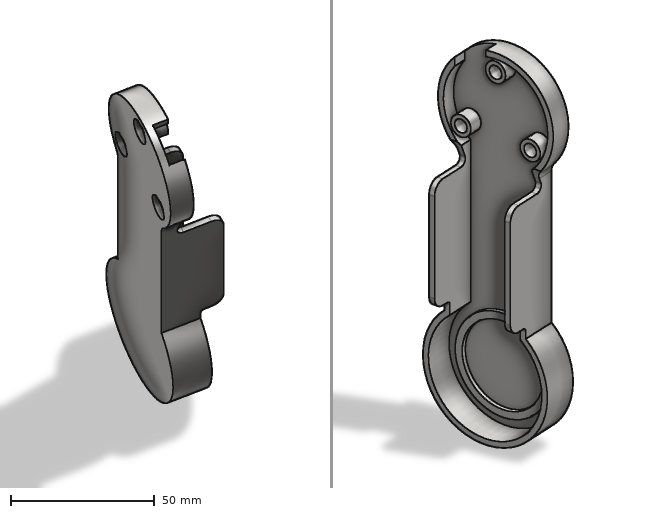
import cadquery as cq
import math

total_height = 152.0
base_diameter = 54.0
base_radius = base_diameter / 2
head_diameter = 50.0
head_radius = head_diameter / 2
base_center_z = base_radius
head_center_z = total_height - head_radius
base_depth = 15.0
head_depth = 9.0
grip_depth = 24.0
handle_half_width = 17.6
wall = 2.5
floor = 3.0
neck_fillet = 4.5

grip_bottom_z = 51.8
grip_top_z = 101.8
grip_corner_radius = 4.9
grip_foot_fillet = 1.5
relief_fillet = 2.5
relief_depth = 4.9
relief_slope_end_z = 111.5

screw_count = 3
screw_circle_radius = 17.3
screw_hole_diameter = 5.3
countersink_diameter = 9.5
countersink_angle = 90
boss_diameter = 8.7

notch_left_x = 4.3
ring_outer_diameter = 41.0
ring_inner_diameter = 35.0
ring_top = 4.9


def disc(x, z, radius, start, end):
    """Cylinder along Y between the depths start and end."""
    plane = cq.Workplane("XZ", origin=(x, start, z))
    return plane.circle(radius).extrude(start - end)


def box(x_min, x_max, y_min, y_max, z_min, z_max):
    size = (x_max - x_min, y_max - y_min, z_max - z_min)
    return cq.Workplane("XY").box(*size, centered=False).translate((x_min, y_min, z_min))


def grip_profile():
    """Side outline of the handle walls, with the relief below the head."""
    return (
        cq.Workplane("YZ", origin=(-handle_half_width, 0, 0))
        .moveTo(0, base_center_z)
        .lineTo(base_depth, base_center_z)
        .lineTo(base_depth, grip_bottom_z)
        .lineTo(grip_depth, grip_bottom_z)
        .lineTo(grip_depth, grip_top_z)
        .lineTo(relief_depth, grip_top_z)
        .lineTo(head_depth, relief_slope_end_z)
        .lineTo(head_depth, head_center_z)
        .lineTo(0, head_center_z)
        .close()
        .extrude(2 * handle_half_width)
    )


def round_grip(grip):
    """Round the free corners of the grip and the corners at its foot and relief."""

    def corner(y, z):
        return cq.selectors.NearestToPointSelector((0, y, z))

    for z in (grip_bottom_z, grip_top_z):
        grip = grip.edges("|X").edges(corner(grip_depth, z)).fillet(grip_corner_radius)
    grip = grip.edges("|X").edges(corner(base_depth, grip_bottom_z)).fillet(grip_foot_fillet)
    return grip.edges("|X").edges(corner(relief_depth, grip_top_z)).fillet(relief_fillet)


def neck_fillets():
    """Material that rounds the inside corners between handle and head."""
    center_x = handle_half_width + neck_fillet
    center_drop = math.sqrt((head_radius + neck_fillet) ** 2 - center_x**2)
    center_z = head_center_z - center_drop
    touch_ratio = head_radius / (head_radius + neck_fillet)
    touch_x = center_x * touch_ratio
    touch_z = head_center_z - center_drop * touch_ratio
    inner_x = handle_half_width - wall
    fill = (
        cq.Workplane("XZ")
        .moveTo(inner_x, center_z)
        .lineTo(handle_half_width, center_z)
        .lineTo(touch_x, touch_z)
        .lineTo(inner_x, head_center_z)
        .close()
        .extrude(-head_depth)
        .cut(disc(center_x, center_z, neck_fillet, 0, head_depth))
    )
    return fill.union(fill.mirror("YZ"))


def below_slope():
    """Region kept at the head: everything in front of the sloping relief."""
    return (
        cq.Workplane("YZ", origin=(-head_radius, 0, 0))
        .moveTo(0, grip_top_z)
        .lineTo(relief_depth, grip_top_z)
        .lineTo(head_depth, relief_slope_end_z)
        .lineTo(head_depth, total_height)
        .lineTo(0, total_height)
        .close()
        .extrude(2 * head_radius)
    )


head = disc(0, head_center_z, head_radius, 0, head_depth).union(neck_fillets())
head = head.intersect(below_slope())
base = disc(0, base_center_z, base_radius, 0, base_depth)
body = round_grip(grip_profile()).union(base).union(head)

body = body.cut(disc(0, base_center_z, base_radius - wall, floor, base_depth))
body = body.cut(disc(0, head_center_z, head_radius - wall, floor, head_depth))
channel_half_width = handle_half_width - wall
body = body.cut(
    box(-channel_half_width, channel_half_width, floor, grip_depth, base_center_z, head_center_z)
)

body = body.cut(
    box(notch_left_x, handle_half_width, floor, head_depth, head_center_z, total_height)
)

ring = disc(0, base_center_z, ring_outer_diameter / 2, floor / 2, ring_top)
ring = ring.cut(disc(0, base_center_z, ring_inner_diameter / 2, floor / 2, ring_top))
body = body.union(ring)

screw_points = []
for index in range(screw_count):
    angle = math.radians(90 + index * 360 / screw_count)
    screw_x = screw_circle_radius * math.cos(angle)
    screw_z = head_center_z + screw_circle_radius * math.sin(angle)
    screw_points.append((screw_x, screw_z))
    body = body.union(disc(screw_x, screw_z, boss_diameter / 2, floor / 2, head_depth))

result = (
    cq.Workplane("XZ")
    .add(body)
    .pushPoints(screw_points)
    .cskHole(screw_hole_diameter, countersink_diameter, countersink_angle)
)